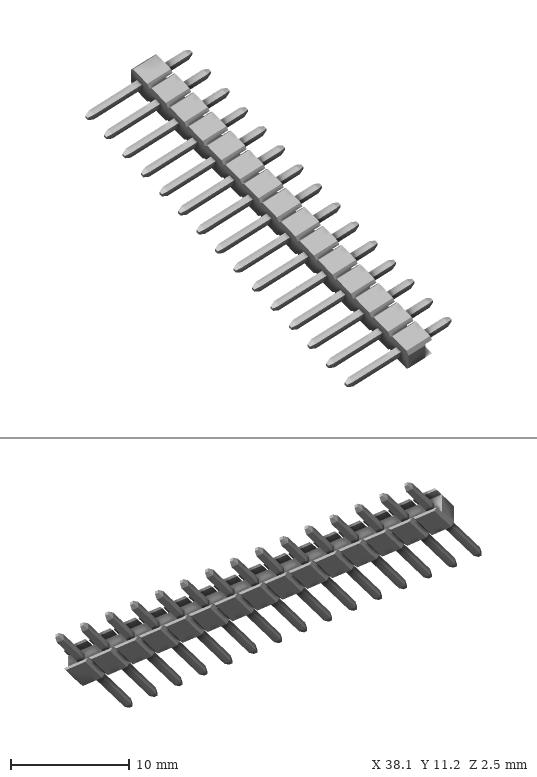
import cadquery as cq

pin_count = 15
pitch = 2.54
row_length = pin_count * pitch

body_height = 2.5
body_depth = 2.54
corner_width = 0.3
corner_height = 0.37

channel_depth = 0.72
lip_thickness = 0.3

pin_length = 11.2
pin_width = 0.64
tip_length = 0.5
tip_width = 0.32
back_reach = 3.0
pin_shift = -0.1

pin_back = pin_length / 2
body_back = pin_back - back_reach
body_front = body_back - body_depth

segment_centers = [(i - (pin_count - 1) / 2) * pitch for i in range(pin_count)]


def make_segment(x_center):
    """One body segment: a block with its four long edges bevelled."""
    half_width = pitch / 2
    half_height = body_height / 2
    flat = half_width - corner_width
    side = half_height - corner_height
    return (
        cq.Workplane("XZ", origin=(x_center, body_front, 0))
        .moveTo(-flat, -half_height)
        .lineTo(flat, -half_height)
        .lineTo(half_width, -side)
        .lineTo(half_width, side)
        .lineTo(flat, half_height)
        .lineTo(-flat, half_height)
        .lineTo(-half_width, side)
        .lineTo(-half_width, -side)
        .close()
        .extrude(-body_depth)
    )


def make_channel():
    """Cutter for the open channel along the whole back face."""
    channel_height = body_height - 2 * lip_thickness
    return (
        cq.Workplane("XY")
        .box(row_length, channel_depth, channel_height)
        .translate((0, body_back - channel_depth / 2, 0))
    )


def make_tip(x_center, y_base, direction):
    """Square taper from the shank at y_base; direction is -1 to the front, +1 to the back."""
    return (
        cq.Workplane("XZ", origin=(x_center, y_base, 0))
        .rect(pin_width, pin_width)
        .workplane(offset=-direction * tip_length)
        .rect(tip_width, tip_width)
        .loft()
    )


def make_pin(x_center):
    """Square pin with a tapered tip at each end."""
    shank_length = pin_length - 2 * tip_length
    pin = cq.Workplane("XY").box(pin_width, shank_length, pin_width).translate((x_center, 0, 0))
    for direction in (-1, 1):
        pin = pin.union(make_tip(x_center, direction * shank_length / 2, direction))
    return pin


body = make_segment(segment_centers[0])
for x_center in segment_centers[1:]:
    body = body.union(make_segment(x_center))
body = body.cut(make_channel())

result = body
for x_center in segment_centers:
    result = result.union(make_pin(x_center + pin_shift))
result = result.clean()